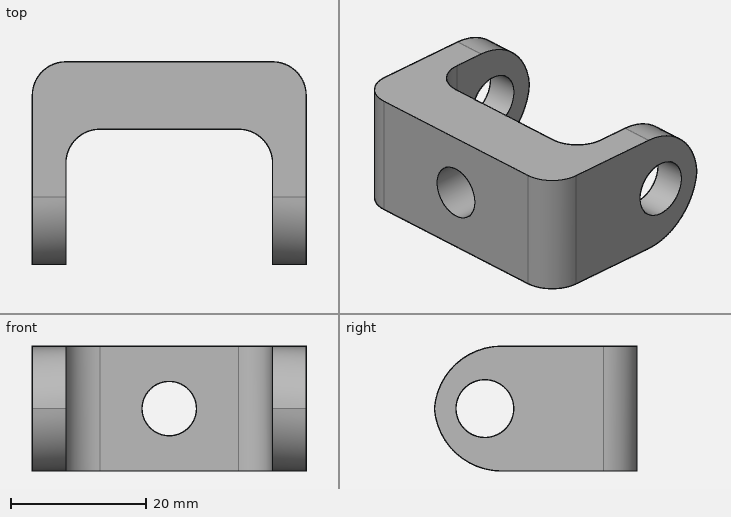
import cadquery as cq
import math

width = 40.5
height = 18.49
arm_thickness = 5.0
web_thickness = 10.0
outer_corner_radius = 5.0
inner_corner_radius = 5.0
arm_straight_length = 20.0
arm_end_radius = 10.0
pin_hole_diameter = 8.5
pin_hole_from_back = 22.5
web_hole_diameter = 8.0

half_height = height / 2
arc_center_offset = arm_end_radius - half_height
tip_reach = math.sqrt(arm_end_radius**2 - arc_center_offset**2)
length = arm_straight_length + tip_reach
gap_width = width - 2 * arm_thickness
gap_length = length - web_thickness


def arm_arc_middle(side):
    """Point (Y, Z) halfway along the rounded end's upper (side=1) or lower (side=-1) arc."""
    tip_angle = math.asin(arc_center_offset / arm_end_radius)
    middle_angle = (tip_angle + math.pi / 2) / 2
    y = -arm_straight_length - arm_end_radius * math.cos(middle_angle)
    z = side * (arm_end_radius * math.sin(middle_angle) - arc_center_offset)
    return (y, z)


def side_profile_block():
    """Full-width block with the rounded arm ends."""
    tip = (-length, 0)
    return (
        cq.Workplane("YZ")
        .moveTo(0, half_height)
        .lineTo(-arm_straight_length, half_height)
        .threePointArc(arm_arc_middle(1), tip)
        .threePointArc(arm_arc_middle(-1), (-arm_straight_length, -half_height))
        .lineTo(0, -half_height)
        .close()
        .extrude(width / 2, both=True)
        .edges("|Z and >Y")
        .fillet(outer_corner_radius)
    )


def arm_gap():
    """Space between the arms, with rounded corners against the web."""
    return (
        cq.Workplane("XY")
        .box(gap_width, gap_length, height, centered=(True, False, True))
        .translate((0, -length, 0))
        .edges("|Z and >Y")
        .fillet(inner_corner_radius)
    )


def pin_hole():
    """Cylinder along X through both arms."""
    return (
        cq.Workplane("YZ")
        .center(-pin_hole_from_back, 0)
        .circle(pin_hole_diameter / 2)
        .extrude(width / 2, both=True)
    )


def web_hole():
    """Cylinder along Y through the middle of the web."""
    return (
        cq.Workplane("XZ")
        .circle(web_hole_diameter / 2)
        .extrude(web_thickness)
    )


result = side_profile_block().cut(arm_gap()).cut(pin_hole()).cut(web_hole())